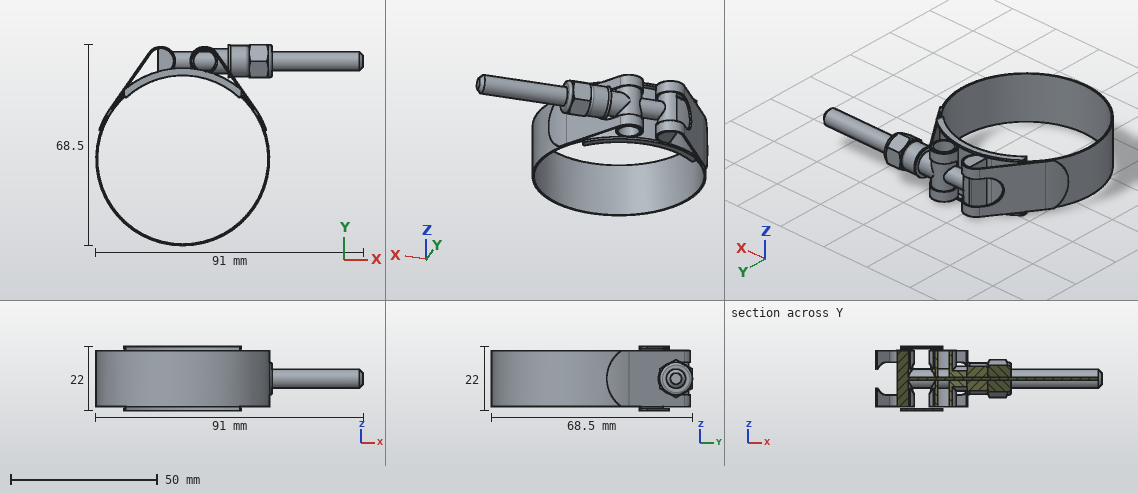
import cadquery as cq
import math


BAND_RADIUS = 29.6
BAND_THICKNESS = 0.55
BAND_WIDTH = 19.0
TAIL_TIP_Y = 9.7
TAIL_TIP_RADIUS = 11.6
TAIL_SPARE_ANGLE = 2
SLOT_RADIUS = 5.55
SLOT_END_Y = 29.0
NUT_SIDE_SLOT_END_Y = 27.3
NUT_SIDE_SLOT_START_X = 11.8

TRUNNION_X = 7.5
TRUNNION_RADIUS = 4.4
TRUNNION_LENGTH = 19.3
TUBE_BORE_RADIUS = 3.7
SLEEVE_RADIUS = 4.3

BRIDGE_INNER_RADIUS = 28.4
BRIDGE_FLANGE_RADIUS = 30.9
BRIDGE_WIDTH = 22.0
BRIDGE_FLANGE_THICKNESS = 0.8
BRIDGE_HALF_SPAN = 20.0
BRIDGE_HALF_ANGLE = 43

BOLT_AXIS_Y = 33.3
BOLT_RADIUS = 3.3
BOLT_END_X = 61.4
BOLT_CHAMFER = 1.4
HEAD_FLAT_X = -8.5
HEAD_BEVEL_DEPTH = 0.3
HEAD_BEVEL_HEIGHT = 0.6

COLLAR_START_X = 15.5
COLLAR_RADIUS = 5.4
COLLAR_LIP_RADIUS = 5.6
COLLAR_LIP_LENGTH = 0.9
COLLAR_LIP_TAPER = 0.8
COLLAR_ROUNDING = 0.9
NUT_START_X = 22.65
NUT_HEX_END_X = 29.1
NUT_END_X = 30.5
NUT_ACROSS_FLATS = 11.2
NUT_CORNER_CHAMFER = 0.5
NUT_END_ROUNDING = 0.9

band_mid_radius = BAND_RADIUS - BAND_THICKNESS / 2
loop_mid_radius = TRUNNION_RADIUS + BAND_THICKNESS / 2
tail_mid_radius = BAND_RADIUS + BAND_THICKNESS / 2

loop_center = (TRUNNION_X, BOLT_AXIS_Y)
loop_distance = math.hypot(*loop_center)
loop_angle = math.degrees(math.atan2(BOLT_AXIS_Y, TRUNNION_X))
band_end_angle = loop_angle - math.degrees(math.acos((band_mid_radius + loop_mid_radius) / loop_distance))
tail_angle = loop_angle - math.degrees(math.acos((tail_mid_radius - loop_mid_radius) / loop_distance))
tail_tip_angle = math.degrees(math.asin(TAIL_TIP_Y / tail_mid_radius))


def polar(center, radius, angle):
    """Point at an angle in degrees on a circle."""
    turn = math.radians(angle)
    return (center[0] + radius * math.cos(turn), center[1] + radius * math.sin(turn))


def extrude_centered(sketch, width):
    """Extrude an XY outline evenly to both sides of Z = 0."""
    return sketch.extrude(width / 2, both=True)


def ring_sector(center, inner_radius, outer_radius, start_angle, end_angle, width):
    """Curved plate between two radii and two angles."""
    mid_angle = (start_angle + end_angle) / 2
    sketch = (
        cq.Workplane("XY")
        .moveTo(*polar(center, inner_radius, start_angle))
        .lineTo(*polar(center, outer_radius, start_angle))
        .threePointArc(polar(center, outer_radius, mid_angle), polar(center, outer_radius, end_angle))
        .lineTo(*polar(center, inner_radius, end_angle))
        .threePointArc(polar(center, inner_radius, mid_angle), polar(center, inner_radius, start_angle))
        .close()
    )
    return extrude_centered(sketch, width)


def strip_arc(center, mid_radius, start_angle, end_angle):
    """Curved run of the band strip."""
    half = BAND_THICKNESS / 2
    return ring_sector(center, mid_radius - half, mid_radius + half, start_angle, end_angle, BAND_WIDTH)


def strip_line(start, end, normal_angle):
    """Straight run of the band strip between two points on its middle line."""
    half = BAND_THICKNESS / 2
    corners = [
        polar(start, half, normal_angle),
        polar(end, half, normal_angle),
        polar(end, -half, normal_angle),
        polar(start, -half, normal_angle),
    ]
    return extrude_centered(cq.Workplane("XY").polyline(corners).close(), BAND_WIDTH)


def x_cylinder(radius, start_x, end_x, axis_y=BOLT_AXIS_Y):
    """Cylinder along X."""
    return cq.Workplane("YZ", origin=(start_x, axis_y, 0)).circle(radius).extrude(end_x - start_x)


def z_cylinder(radius, length, center):
    """Cylinder along Z, centred on Z = 0."""
    return extrude_centered(cq.Workplane("XY").center(*center).circle(radius), length)


def bolt_slot(start_x, end_x, end_y):
    """Cutter along X for a slot with a round lower end, open at the top."""
    center_y = end_y + SLOT_RADIUS
    round_end = x_cylinder(SLOT_RADIUS, start_x, end_x, center_y)
    open_part = cq.Workplane("XY", origin=(start_x, center_y, 0)).box(
        end_x - start_x, 2 * SLOT_RADIUS, 2 * SLOT_RADIUS, centered=(False, False, True)
    )
    return round_end.union(open_part)


def make_band():
    axis = (0, 0)
    loop_start_angle = band_end_angle + 180
    hoop = strip_arc(axis, band_mid_radius, -180 - band_end_angle, band_end_angle)
    riser = strip_line(
        polar(axis, band_mid_radius, band_end_angle),
        polar(loop_center, loop_mid_radius, loop_start_angle),
        band_end_angle,
    )
    loop = strip_arc(loop_center, loop_mid_radius, tail_angle, loop_start_angle)
    strap = strip_line(
        polar(loop_center, loop_mid_radius, tail_angle),
        polar(axis, tail_mid_radius, tail_angle),
        tail_angle,
    )
    tip = x_cylinder(TAIL_TIP_RADIUS, 0, 2 * BAND_RADIUS, TAIL_TIP_Y + TAIL_TIP_RADIUS)
    tail = strip_arc(axis, tail_mid_radius, tail_tip_angle - TAIL_SPARE_ANGLE, tail_angle).intersect(tip)

    right_loop = riser.union(loop).union(strap)
    left_loop = right_loop.mirror("YZ").cut(bolt_slot(-BAND_RADIUS, 0, SLOT_END_Y))
    right_loop = right_loop.cut(bolt_slot(0, BAND_RADIUS, SLOT_END_Y))
    right_loop = right_loop.cut(bolt_slot(NUT_SIDE_SLOT_START_X, BAND_RADIUS, NUT_SIDE_SLOT_END_Y))

    band = hoop
    for piece in (right_loop, left_loop, tail, tail.mirror("YZ")):
        band = band.union(piece, clean=False)
    return band


def make_bridge():
    floor_radius = BAND_RADIUS - BAND_THICKNESS
    start_angle = 90 - BRIDGE_HALF_ANGLE
    end_angle = 90 + BRIDGE_HALF_ANGLE
    floor = ring_sector((0, 0), BRIDGE_INNER_RADIUS, floor_radius, start_angle, end_angle, BRIDGE_WIDTH)

    bend_y = BRIDGE_HALF_SPAN / math.tan(math.radians(BRIDGE_HALF_ANGLE))
    flange_end_y = math.sqrt(BRIDGE_FLANGE_RADIUS**2 - BRIDGE_HALF_SPAN**2)
    flange_outline = (
        cq.Workplane("XY")
        .moveTo(*polar((0, 0), BRIDGE_INNER_RADIUS, start_angle))
        .lineTo(BRIDGE_HALF_SPAN, bend_y)
        .lineTo(BRIDGE_HALF_SPAN, flange_end_y)
        .threePointArc((0, BRIDGE_FLANGE_RADIUS), (-BRIDGE_HALF_SPAN, flange_end_y))
        .lineTo(-BRIDGE_HALF_SPAN, bend_y)
        .lineTo(*polar((0, 0), BRIDGE_INNER_RADIUS, end_angle))
        .threePointArc((0, BRIDGE_INNER_RADIUS), polar((0, 0), BRIDGE_INNER_RADIUS, start_angle))
        .close()
    )
    flange = flange_outline.extrude(BRIDGE_FLANGE_THICKNESS)
    bridge = floor
    for bottom_z in (-BRIDGE_WIDTH / 2, BRIDGE_WIDTH / 2 - BRIDGE_FLANGE_THICKNESS):
        bridge = bridge.union(flange.translate((0, 0, bottom_z)))
    return bridge


def make_t_bolt():
    head = z_cylinder(TRUNNION_RADIUS, TRUNNION_LENGTH, (-TRUNNION_X, BOLT_AXIS_Y))
    flat_offset = TRUNNION_X + HEAD_FLAT_X
    flat_top_y = BOLT_AXIS_Y + math.sqrt(TRUNNION_RADIUS**2 - flat_offset**2)
    waste_outline = [
        (HEAD_FLAT_X - TRUNNION_RADIUS, BOLT_AXIS_Y - 2 * TRUNNION_RADIUS),
        (HEAD_FLAT_X, BOLT_AXIS_Y - 2 * TRUNNION_RADIUS),
        (HEAD_FLAT_X, flat_top_y - HEAD_BEVEL_HEIGHT),
        (HEAD_FLAT_X + HEAD_BEVEL_DEPTH, flat_top_y + HEAD_BEVEL_DEPTH),
        (HEAD_FLAT_X - TRUNNION_RADIUS, flat_top_y + HEAD_BEVEL_DEPTH),
    ]
    waste = extrude_centered(cq.Workplane("XY").polyline(waste_outline).close(), TRUNNION_LENGTH)
    shank = x_cylinder(BOLT_RADIUS, -TRUNNION_X, BOLT_END_X).faces(">X").chamfer(BOLT_CHAMFER)
    return head.cut(waste).union(shank)


def make_tube_trunnion():
    center = (TRUNNION_X, BOLT_AXIS_Y)
    tube = z_cylinder(TRUNNION_RADIUS, TRUNNION_LENGTH, center)
    sleeve = x_cylinder(SLEEVE_RADIUS, TRUNNION_X, COLLAR_START_X)
    tube_bore = z_cylinder(TUBE_BORE_RADIUS, TRUNNION_LENGTH, center)
    bolt_hole = x_cylinder(BOLT_RADIUS, 0, COLLAR_START_X)
    return tube.union(sleeve).cut(tube_bore).cut(bolt_hole)


def make_collar():
    body = x_cylinder(COLLAR_RADIUS, COLLAR_START_X, NUT_START_X).faces(">X").edges().fillet(COLLAR_ROUNDING)
    lip_height = COLLAR_LIP_RADIUS - COLLAR_RADIUS
    lip = x_cylinder(COLLAR_LIP_RADIUS, COLLAR_START_X, COLLAR_START_X + COLLAR_LIP_LENGTH)
    lip = lip.faces(">X").chamfer(COLLAR_LIP_TAPER, lip_height)
    return body.union(lip).cut(x_cylinder(BOLT_RADIUS, COLLAR_START_X, NUT_START_X))


def make_nut():
    apothem = NUT_ACROSS_FLATS / 2
    corner_radius = apothem / math.cos(math.pi / 6)
    hexagon = (
        cq.Workplane("YZ", origin=(NUT_START_X, BOLT_AXIS_Y, 0))
        .transformed(rotate=(0, 0, 90))
        .polygon(6, 2 * corner_radius)
        .extrude(NUT_HEX_END_X - NUT_START_X)
    )
    corner_trim = x_cylinder(corner_radius, NUT_START_X, NUT_HEX_END_X).edges().chamfer(
        NUT_CORNER_CHAMFER, corner_radius - apothem
    )
    round_end = x_cylinder(apothem, NUT_HEX_END_X, NUT_END_X).faces(">X").edges().fillet(NUT_END_ROUNDING)
    bore = x_cylinder(BOLT_RADIUS, NUT_START_X, NUT_END_X)
    return hexagon.intersect(corner_trim).union(round_end).cut(bore)


band = make_band()
bridge = make_bridge()
t_bolt = make_t_bolt()
tube_trunnion = make_tube_trunnion()
collar = make_collar()
nut = make_nut()

bodies = [band, bridge, t_bolt, tube_trunnion, collar, nut]
result = cq.Compound.makeCompound([body.solids().val() for body in bodies])